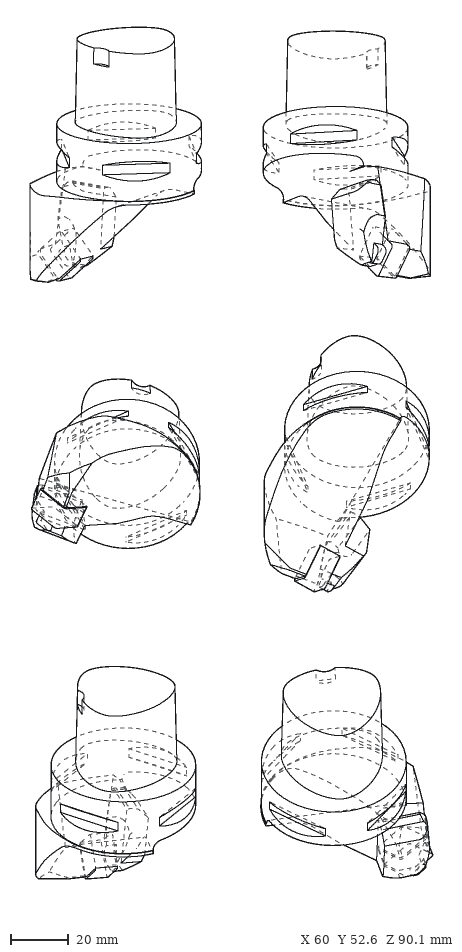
import cadquery as cq
import math


SHANK_HEIGHT = 30.0
SHANK_BASE_RADIUS = 17.5
SHANK_TOP_RADIUS = 16.9
LOBE_HEIGHT = 1.3
CORNER_SPAN = 72
LOBE_ANGLES = (90, 210, 330)
NOTCH_RADIUS = 4.6
NOTCH_CENTER_Y = -18.6
NOTCH_DEPTH = 5.7

FLANGE_RADIUS = 50.0 / 2
FLANGE_BOTTOM = -20.7
SLOT_FLOOR_DISTANCE = 22.1
SLOT_CENTER_Z = -10.0
SLOT_FLOOR_HALF = 1.7
SLOT_MOUTH_HALF = 3.5
RELIEF_Y = 5.05
RELIEF_ROOT_Z = -17.8
RELIEF_RIM_Z = -16.1
RELIEF_FILLET = 3.2

HEAD_RADIUS = 25.2
HEAD_FRONT_Y = -27.6
HEAD_LEFT = -36.1
HEAD_BACK_Y = 8.1
HEAD_LOW = -63.1
SHOULDER_SLOPE = 0.27
LEFT_X = -30.8
LEFT_Z = -22.7
LEFT_DRAFT = 0.08
FOOT_Z = -22.0
FLANK_OFFSET = 33.6
FLANK_FILLET = 10.8
NOSE_OFFSET = -83.8
BEVEL_Y = -13.9
TIP_Z = -58.2
BEVEL_SLOPE = 0.32
RAKE_TILT = 0.1
RAKE_Y = 1.0

INSERT_X = -26.1
INSERT_Z = -51.4
INSERT_SIDE = 13.0
INSERT_THICKNESS = 8.0
INSERT_CORNER = 1.1

BOSS_LEFT = -36.1
BOSS_LENGTH = 21.6
BOSS_FACE_X = -32.6
BOSS_PLAN_Z = -40.6
BOSS_RISE = 0.1
BOSS_CUT_X = -32.6
BOSS_CUT_Z = -40.2
BOSS_CUT_END_X = -27.95
BOSS_CUT_END_Z = -55.9
CROWN_X = -29.3
CROWN_TOP_Z = -26.6
CROWN_LOW_Z = -29.1
CROWN_LOW_X = -31.7

NIB_SIDE = 6.7
NIB_CORNER = 2.0
NIB_HEIGHT = 3.5
NIB_FLANK_SHIFT = -0.45
NIB_NOSE_SHIFT = -1.6

REACH = 90.2


def lobe_point(mean_radius, degrees):
    """Point of the shank section whose outward normal has the given direction."""
    angle = math.radians(degrees)
    phase = 3 * (angle - math.pi / 2)
    support = mean_radius + LOBE_HEIGHT * math.cos(phase)
    slope = -3 * LOBE_HEIGHT * math.sin(phase)
    return cq.Vector(
        support * math.cos(angle) - slope * math.sin(angle),
        support * math.sin(angle) + slope * math.cos(angle),
    )


def lobe_curve(mean_radius, start, end):
    steps = 6
    angles = [start + (end - start) * i / steps for i in range(steps + 1)]
    tangents = [
        cq.Vector(-math.sin(math.radians(a)), math.cos(math.radians(a))) for a in (start, end)
    ]
    return cq.Edge.makeSpline([lobe_point(mean_radius, a) for a in angles], tangents)


def shank_section(mean_radius, z):
    """Closed section made of three lobe corners and three flatter sides."""
    curves = []
    for lobe in LOBE_ANGLES:
        corner_start = lobe - CORNER_SPAN / 2
        corner_end = lobe + CORNER_SPAN / 2
        curves.append(lobe_curve(mean_radius, corner_start, corner_end))
        curves.append(lobe_curve(mean_radius, corner_end, corner_start + 120))
    return cq.Wire.assembleEdges(curves).translate(cq.Vector(0, 0, z))


def make_shank():
    sections = [
        shank_section(SHANK_BASE_RADIUS, 0),
        shank_section(SHANK_TOP_RADIUS, SHANK_HEIGHT),
    ]
    shank = cq.Workplane(cq.Solid.makeLoft(sections, True))
    notch = (
        cq.Workplane("XY", origin=(0, NOTCH_CENTER_Y, SHANK_HEIGHT - NOTCH_DEPTH))
        .circle(NOTCH_RADIUS)
        .extrude(NOTCH_DEPTH)
    )
    return shank.cut(notch)


def gripper_slot(angle):
    """Straight slot with a flat floor and sloped walls, on the flange side at this angle."""
    depth = FLANGE_RADIUS - SLOT_FLOOR_DISTANCE
    profile = [
        (SLOT_FLOOR_DISTANCE, SLOT_CENTER_Z - SLOT_FLOOR_HALF),
        (SLOT_FLOOR_DISTANCE + depth, SLOT_CENTER_Z - SLOT_MOUTH_HALF),
        (SLOT_FLOOR_DISTANCE + depth, SLOT_CENTER_Z + SLOT_MOUTH_HALF),
        (SLOT_FLOOR_DISTANCE, SLOT_CENTER_Z + SLOT_FLOOR_HALF),
    ]
    slot = cq.Workplane("XZ").polyline(profile).close().extrude(FLANGE_RADIUS, both=True)
    return slot.rotate((0, 0, 0), (0, 0, 1), angle)


def make_flange():
    flange = cq.Workplane("XY").circle(FLANGE_RADIUS).extrude(FLANGE_BOTTOM)
    for angle in (45, 135, 225, 315):
        flange = flange.cut(gripper_slot(angle))
    return flange


def underside_relief():
    """Space under the +Y side of the flange, with a rounded inner corner."""
    return (
        cq.Workplane("YZ")
        .polyline([
            (RELIEF_Y, HEAD_LOW),
            (RELIEF_Y, RELIEF_ROOT_Z),
            (FLANGE_RADIUS, RELIEF_RIM_Z),
            (FLANGE_RADIUS, HEAD_LOW),
        ])
        .close()
        .extrude(REACH / 2, both=True)
        .edges(cq.selectors.NearestToPointSelector((0, RELIEF_Y, RELIEF_ROOT_Z)))
        .fillet(RELIEF_FILLET)
    )


def rake_plane():
    """Plane of the rake face at the insert centre, facing into the head."""
    return cq.Plane(
        origin=(INSERT_X, RAKE_Y, INSERT_Z),
        xDir=(1, 0, -1),
        normal=(RAKE_TILT, -1, RAKE_TILT),
    )


def head_block():
    """Upright block with the plan outline of the head."""
    back_x = math.sqrt(HEAD_RADIUS**2 - HEAD_BACK_Y**2)
    join_x = 10.8
    join_y = -math.sqrt(HEAD_RADIUS**2 - join_x**2)
    return (
        cq.Workplane("XY", origin=(0, 0, HEAD_LOW))
        .moveTo(HEAD_LEFT, HEAD_BACK_Y)
        .lineTo(HEAD_LEFT, -7.2)
        .threePointArc((-30.3, -16.95), (-19.6, -26.15))
        .tangentArcPoint((-14.2, HEAD_FRONT_Y), relative=False)
        .lineTo(-8.1, HEAD_FRONT_Y)
        .tangentArcPoint((join_x, join_y), relative=False)
        .threePointArc((HEAD_RADIUS, 0), (back_x, HEAD_BACK_Y))
        .close()
        .extrude(FLANGE_BOTTOM - HEAD_LOW)
    )


def shoulder_cone():
    """Solid under the conical shoulder that falls away from the flange."""
    rim_z = FLANGE_BOTTOM - SHOULDER_SLOPE * (REACH - FLANGE_RADIUS)
    profile = [
        (0, HEAD_LOW),
        (0, FLANGE_BOTTOM),
        (FLANGE_RADIUS, FLANGE_BOTTOM),
        (REACH, rim_z),
        (REACH, HEAD_LOW),
    ]
    return cq.Workplane("XZ").polyline(profile).close().revolve(360, (0, 0), (0, 1))


def flank_space():
    """Solid through Y above the two 45-degree undersides and the flat foot."""
    outline = [
        (-REACH, NOSE_OFFSET + REACH),
        (NOSE_OFFSET - TIP_Z, TIP_Z),
        (FLANK_OFFSET + TIP_Z, TIP_Z),
        (FLANK_OFFSET + FOOT_Z, FOOT_Z),
        (REACH, FOOT_Z),
        (REACH, REACH),
        (-REACH, REACH),
    ]
    return (
        cq.Workplane("XZ")
        .polyline(outline)
        .close()
        .extrude(REACH, both=True)
        .edges(cq.selectors.NearestToPointSelector((FLANK_OFFSET + FOOT_Z, 0, FOOT_Z)))
        .fillet(FLANK_FILLET)
    )


def drafted_left_space():
    """Everything on the +X side of the drafted left face."""
    left_plane = cq.Plane(
        origin=(LEFT_X, 0, LEFT_Z), xDir=(0, 1, 0), normal=(1, 0, -LEFT_DRAFT)
    )
    return cq.Workplane(left_plane).rect(2 * REACH, 2 * REACH).extrude(REACH)


def rake_space():
    """Everything on the -Y side of the rake face."""
    return cq.Workplane(rake_plane()).rect(2 * REACH, 2 * REACH).extrude(REACH)


def front_bevel():
    """Cut that slopes the tip up toward the front."""
    rise = BEVEL_SLOPE * REACH
    profile = [
        (BEVEL_Y, TIP_Z),
        (BEVEL_Y - REACH, TIP_Z + rise),
        (BEVEL_Y - REACH, TIP_Z - REACH),
        (BEVEL_Y, TIP_Z - REACH),
    ]
    return cq.Workplane("YZ").polyline(profile).close().extrude(REACH, both=True)


def make_head():
    head = head_block().intersect(shoulder_cone()).intersect(flank_space())
    return head.intersect(drafted_left_space()).intersect(rake_space()).cut(front_bevel())


def make_boss():
    """Clamp boss on the rake face, with a chamfered crown and rounded left edge."""
    side = cq.Plane(
        origin=(BOSS_LEFT, 0, 0), xDir=(-BOSS_RISE, 1, 0), normal=(1, BOSS_RISE, 0)
    )
    boss = (
        cq.Workplane(side)
        .moveTo(-3.6, -27.5)
        .lineTo(3.4, -26.9)
        .lineTo(6.5, -27.6)
        .lineTo(10.6, -32.3)
        .lineTo(9.65, -43.9)
        .threePointArc((7.5, -49.4), (3.25, -55.9))
        .lineTo(-3.6, -55.9)
        .close()
        .extrude(BOSS_LENGTH)
    )
    lean = cq.Plane(
        origin=(BOSS_FACE_X, 0, BOSS_PLAN_Z), xDir=(1, 0, -LEFT_DRAFT),
        normal=(LEFT_DRAFT, RAKE_TILT, 1),
    )
    plan = (
        cq.Workplane(lean)
        .moveTo(0, -9)
        .lineTo(0, 5.05)
        .lineTo(0.45, 7.1)
        .threePointArc((1.8, 9.3), (4.8, 10.4))
        .lineTo(BOSS_LENGTH, 11.7)
        .lineTo(BOSS_LENGTH, -9)
        .close()
        .extrude(REACH / 2, both=True)
    )
    bevel = (
        cq.Workplane("XZ")
        .polyline([
            (BOSS_CUT_X, BOSS_CUT_Z),
            (BOSS_CUT_END_X, BOSS_CUT_END_Z),
            (BOSS_LEFT, BOSS_CUT_END_Z),
            (BOSS_LEFT, BOSS_CUT_Z),
        ])
        .close()
        .extrude(REACH, both=True)
    )
    crown_slope = (CROWN_TOP_Z - CROWN_LOW_Z) / (CROWN_X - CROWN_LOW_X)
    crown_bevel = (
        cq.Workplane("XZ")
        .polyline([
            (CROWN_X, CROWN_TOP_Z),
            (BOSS_LEFT, CROWN_TOP_Z - crown_slope * (CROWN_X - BOSS_LEFT)),
            (BOSS_LEFT, CROWN_TOP_Z),
        ])
        .close()
        .extrude(REACH, both=True)
    )
    boss = boss.intersect(plan).intersect(flank_space())
    return boss.cut(bevel).cut(crown_bevel).cut(rake_space())


def make_clamp_nib():
    """Small rounded nib beside the boss that bears on the insert."""
    return (
        cq.Workplane(rake_plane())
        .center(NIB_FLANK_SHIFT, NIB_NOSE_SHIFT)
        .sketch()
        .rect(NIB_SIDE, NIB_SIDE)
        .vertices()
        .fillet(NIB_CORNER)
        .finalize()
        .extrude(-NIB_HEIGHT)
    )


def make_insert():
    """Square insert, one corner down, sunk into the head below the rake face."""
    return (
        cq.Workplane(rake_plane())
        .sketch()
        .rect(INSERT_SIDE, INSERT_SIDE)
        .vertices()
        .fillet(INSERT_CORNER)
        .finalize()
        .extrude(INSERT_THICKNESS)
    )


insert = make_insert()
holder = (
    make_flange()
    .union(make_head())
    .cut(underside_relief())
    .union(make_shank())
    .union(make_boss())
    .union(make_clamp_nib())
    .cut(insert)
)

result = cq.Compound.makeCompound([holder.val(), insert.val()])